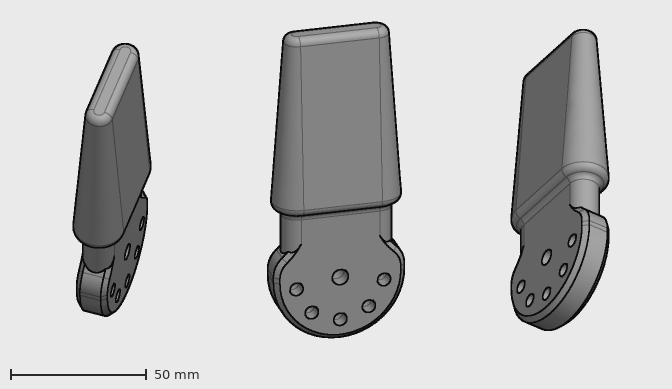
import cadquery as cq
import math

total_height = 122.0
core_half_width = 15.0

disc_radius = 25.0
disc_thickness = 12.0
disc_chamfer = 2.0
side_flat_height = 2.0
shoulder_radius = disc_radius - core_half_width
shoulder_angle = math.radians(48)
runout_radius = 22.5
head_top = 41.8

hub_hole_diameter = 6.1
ring_hole_diameter = 5.0
ring_hole_radius = 17.0
ring_hole_count = 5
ring_hole_step = 40.0

neck_radius = disc_thickness / 2
neck_bottom = 29.3
handle_bottom = 52.0
handle_base_radius = 9.8
handle_taper = math.radians(4)
edge_round = 3.0
neck_round = 2.5


def make_head():
    """Disc with shoulders that run into the neck, chamfered on both faces."""
    shoulder_z = disc_radius + side_flat_height
    center_distance = shoulder_radius + runout_radius
    runout_y = core_half_width + center_distance * math.cos(shoulder_angle)
    runout_z = shoulder_z + center_distance * math.sin(shoulder_angle)
    runout_end_angle = math.asin((runout_z - head_top) / runout_radius)

    def shoulder_point(angle):
        return (
            core_half_width + shoulder_radius * math.cos(angle),
            shoulder_z + shoulder_radius * math.sin(angle),
        )

    def runout_point(angle):
        return (
            runout_y - runout_radius * math.cos(angle),
            runout_z - runout_radius * math.sin(angle),
        )

    def mirrored(point):
        return (-point[0], point[1])

    shoulder_middle = shoulder_point(shoulder_angle / 2)
    shoulder_end = shoulder_point(shoulder_angle)
    runout_middle = runout_point((shoulder_angle + runout_end_angle) / 2)
    runout_end = runout_point(runout_end_angle)

    return (
        cq.Workplane("YZ")
        .moveTo(-disc_radius, disc_radius)
        .threePointArc((0, 0), (disc_radius, disc_radius))
        .lineTo(disc_radius, shoulder_z)
        .threePointArc(shoulder_middle, shoulder_end)
        .threePointArc(runout_middle, runout_end)
        .lineTo(*mirrored(runout_end))
        .threePointArc(mirrored(runout_middle), mirrored(shoulder_end))
        .threePointArc(mirrored(shoulder_middle), (-disc_radius, shoulder_z))
        .close()
        .extrude(disc_thickness / 2, both=True)
        .faces("<X or >X")
        .chamfer(disc_chamfer)
    )


def handle_profile():
    """Half section of the neck and handle on XZ, from the centre plane outwards."""
    slope = math.tan(handle_taper)
    wall_x = math.cos(handle_taper)
    wall_z = math.sin(handle_taper)

    bottom_z = handle_bottom + edge_round
    bottom_x = handle_base_radius - slope * edge_round - edge_round / wall_x
    fillet_x = neck_radius + neck_round
    centers_apart = edge_round + neck_round
    fillet_z = bottom_z - math.sqrt(centers_apart**2 - (fillet_x - bottom_x) ** 2)
    meeting_angle = math.atan2(fillet_z - bottom_z, fillet_x - bottom_x)
    fillet_start_angle = math.pi
    fillet_end_angle = meeting_angle + math.pi
    top_z = total_height - edge_round
    top_x = handle_base_radius - slope * (top_z - handle_bottom) - edge_round / wall_x

    def on_arc(x, z, radius, angle):
        return (x + radius * math.cos(angle), z + radius * math.sin(angle))

    fillet_middle = (fillet_start_angle + fillet_end_angle) / 2
    bottom_middle = (meeting_angle + handle_taper) / 2
    top_middle = (handle_taper + math.pi / 2) / 2

    return (
        cq.Workplane("XZ")
        .moveTo(0, neck_bottom)
        .lineTo(neck_radius, neck_bottom)
        .lineTo(neck_radius, fillet_z)
        .threePointArc(
            on_arc(fillet_x, fillet_z, neck_round, fillet_middle),
            on_arc(fillet_x, fillet_z, neck_round, fillet_end_angle),
        )
        .threePointArc(
            on_arc(bottom_x, bottom_z, edge_round, bottom_middle),
            on_arc(bottom_x, bottom_z, edge_round, handle_taper),
        )
        .lineTo(top_x + edge_round * wall_x, top_z + edge_round * wall_z)
        .threePointArc(
            on_arc(top_x, top_z, edge_round, top_middle),
            (top_x, total_height),
        )
        .lineTo(0, total_height)
        .close()
    )


def make_handle():
    """Neck and handle: a straight middle between two revolved ends."""
    half_middle = handle_profile().extrude(core_half_width, both=True)
    handle = half_middle.union(half_middle.mirror("YZ"))
    rounded_end = handle_profile().revolve(360, (0, 0, 0), (0, 1, 0))
    for side in (-1, 1):
        handle = handle.union(rounded_end.translate((0, side * core_half_width, 0)))
    return handle


def make_holes():
    """Hub hole and the ring of holes around the lower half of the disc."""
    lowest_angle = -90.0
    half_sweep = ring_hole_step * (ring_hole_count - 1) / 2
    disc_center = cq.Workplane("YZ", origin=(0, 0, disc_radius))
    hub_hole = disc_center.circle(hub_hole_diameter / 2).extrude(disc_thickness, both=True)
    ring_holes = (
        disc_center
        .polarArray(ring_hole_radius, lowest_angle - half_sweep, ring_hole_step, ring_hole_count,
                    fill=False)
        .circle(ring_hole_diameter / 2)
        .extrude(disc_thickness, both=True)
    )
    return hub_hole.union(ring_holes)


result = make_head().union(make_handle()).cut(make_holes())